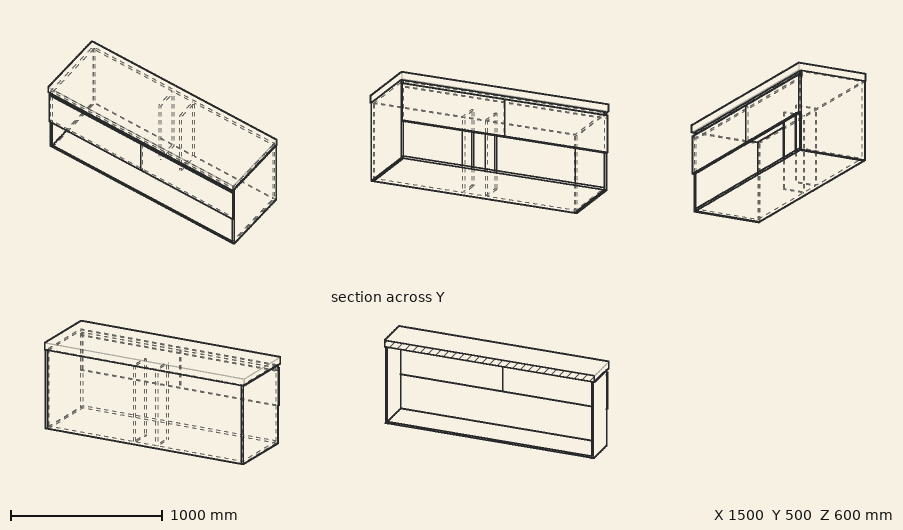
import cadquery as cq

top_width = 1500
top_depth = 500
top_thickness = 50
top_edge_round = 1
total_height = 600

board_thickness = 16
carcass_width = 1488
carcass_depth = 480
carcass_height = total_height - top_thickness
inner_width = carcass_width - 2 * board_thickness

divider_spacing = 150
divider_depth = 150
upright_height = carcass_height - board_thickness

rail_height = 40

finger_gap = 28
front_height = 261
front_top = carcass_height - finger_gap
front_bottom = front_top - front_height
front_gap = 2
front_width = (carcass_width - front_gap) / 2
front_lip = 4
front_bevel = board_thickness - front_lip

back_y = top_depth / 2
carcass_front_y = back_y - carcass_depth
back_board_y = back_y - board_thickness


def board(width, depth, height, center_x, front_y, bottom_z):
    """Board centred on center_x, reaching back from front_y and up from bottom_z."""
    return (
        cq.Workplane("XY")
        .box(width, depth, height, centered=(True, False, False))
        .translate((center_x, front_y, bottom_z))
    )


def make_worktop():
    """Slab overhanging the carcass at the front and sides, with all edges eased."""
    slab = board(top_width, top_depth, top_thickness, 0, back_y - top_depth, carcass_height)
    return slab.edges().fillet(top_edge_round)


def make_side_panel(direction):
    center_x = direction * (carcass_width - board_thickness) / 2
    return board(board_thickness, carcass_depth, carcass_height, center_x, carcass_front_y, 0)


def make_base_unit():
    """Bottom board with the back board and the dividers standing on it."""
    unit = board(inner_width, carcass_depth, board_thickness, 0, carcass_front_y, 0)
    back = board(inner_width, board_thickness, upright_height, 0, back_board_y, board_thickness)
    unit = unit.union(back)
    divider_front_y = back_board_y - divider_depth
    for direction in (-1, 1):
        center_x = direction * (divider_spacing + board_thickness) / 2
        divider = board(
            board_thickness, divider_depth, upright_height, center_x, divider_front_y, board_thickness
        )
        unit = unit.union(divider)
    return unit


def make_front_rail():
    rail_bottom = carcass_height - rail_height
    return board(inner_width, board_thickness, rail_height, 0, carcass_front_y, rail_bottom)


def make_drawer_front(direction):
    """Flat front whose top edge is bevelled towards the rear as a finger grip."""
    center_x = direction * (front_width + front_gap) / 2
    face_y = carcass_front_y - board_thickness
    profile = [
        (face_y, front_bottom),
        (carcass_front_y, front_bottom),
        (carcass_front_y, front_top - front_bevel),
        (face_y + front_lip, front_top),
        (face_y, front_top),
    ]
    return (
        cq.Workplane("YZ")
        .polyline(profile)
        .close()
        .extrude(front_width / 2, both=True)
        .translate((center_x, 0, 0))
    )


worktop = make_worktop()
base_unit = make_base_unit()
front_rail = make_front_rail()
side_panels = [make_side_panel(direction) for direction in (-1, 1)]
drawer_fronts = [make_drawer_front(direction) for direction in (-1, 1)]

result = cq.Compound.makeCompound(
    [
        worktop.solids().val(),
        base_unit.solids().val(),
        front_rail.val(),
        *[panel.val() for panel in side_panels],
        *[front.solids().val() for front in drawer_fronts],
    ]
)